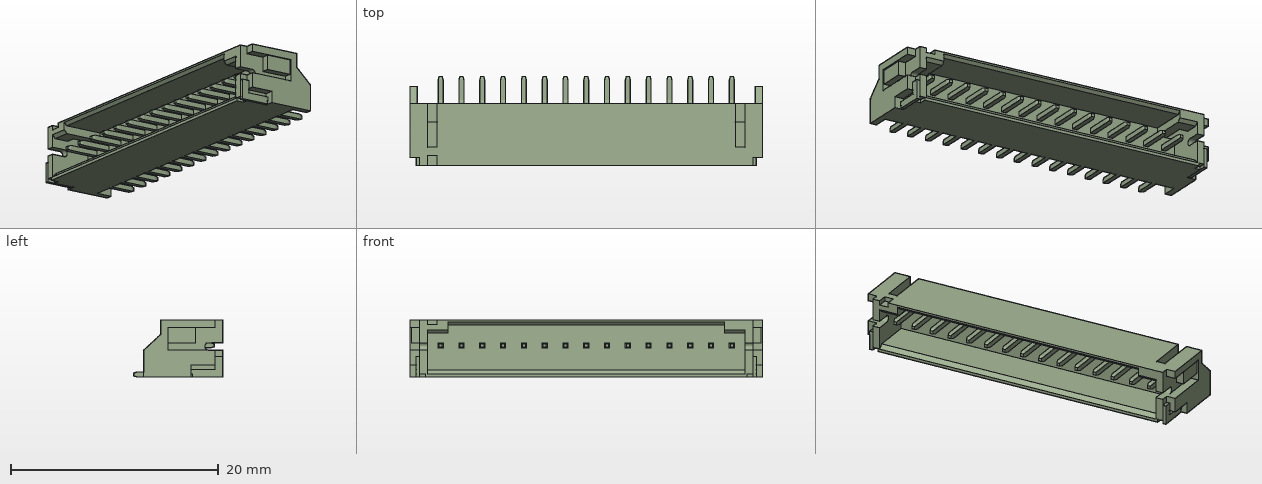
import cadquery as cq
import math

LENGTH = 33.9
DEPTH = 8.6
HEIGHT = 5.5
HALF_LENGTH = LENGTH / 2

BODY_DEPTH = 6.0
EAR_DEPTH = 7.62
EAR_TAIL_WIDTH = 0.7
EAR_SLOPE_TOP = 4.1
EAR_SLOPE_BOTTOM = 2.6
EAR_SETBACK = 0.77
EAR_WIDTH = 0.94

END_WALL = 1.7
CAVITY_HALF_LENGTH = HALF_LENGTH - END_WALL
CAVITY_DEPTH = 4.2
CAVITY_FLOOR = 0.7
CAVITY_ROOF = 4.22
KEYWAY_ROOF = 5.0
KEYWAY_HALF_LENGTH = HALF_LENGTH - 3.65
FLOOR_LEAD_IN = 0.4
ROOF_LEAD_IN = 0.33
KEYWAY_LEAD_IN = 0.3

ROOF_SLOT_WIDTH = 0.92
ROOF_SLOT_FRONT = 1.78
PIN_ONE_MARK_LENGTH = 1.0
PIN_ONE_MARK_DEPTH = 0.45

WINDOW_BACK = 5.3
WINDOW_BOTTOM = 2.6
WINDOW_TOP = 4.75
BLOCK_FRONT = 2.65
BLOCK_BOTTOM = 3.3
BLOCK_INSET = 0.15

WALL_SLOT_END = 1.73

RECESS_BACK = 3.05
RECESS_HEIGHT = 1.14
RELIEF_HEIGHT = 0.3
RELIEF_INNER = 1.5

TAB_OUTER = 0.6
TAB_FRONT_HEIGHT = 1.97
TAB_REAR_HEIGHT = 0.71
TAB_HEEL_LENGTH = 0.1
TAB_HEEL_HEIGHT = 0.32

PIN_COUNT = 15
PIN_PITCH = 2.0
PIN_SIZE = 0.5
PIN_TIP_SIZE = 0.3
PIN_TIP_LENGTH = 0.35
PIN_CONTACT_Z = 3.05
PIN_CONTACT_FRONT = 0.82
PIN_TAIL_Z = PIN_SIZE / 2
PIN_BEND_RADIUS = 0.33
PIN_EMBED = 0.3


def box(x_range, y_range, z_range):
    """Box spanning the given (low, high) ranges."""
    sizes = [high - low for low, high in (x_range, y_range, z_range)]
    corner = (x_range[0], y_range[0], z_range[0])
    return cq.Workplane("XY").box(*sizes, centered=False).translate(corner)


def yz_prism(points, x_range):
    """Closed (y, z) outline extruded along X over the given range."""
    low, high = x_range
    return cq.Workplane("YZ", origin=(low, 0, 0)).polyline(points).close().extrude(high - low)


def from_left(inset):
    """X of a plane at the given distance inside the left end."""
    return inset - HALF_LENGTH


def mirrored(shape):
    """Copy of a left-end shape at the right end."""
    return shape.mirror("YZ")


def ear_tail():
    """Sloped rear extension of the left ear."""
    outline = [
        (BODY_DEPTH, 0),
        (EAR_DEPTH, 0),
        (EAR_DEPTH, EAR_SLOPE_BOTTOM),
        (BODY_DEPTH, EAR_SLOPE_TOP),
    ]
    return yz_prism(outline, (from_left(0), from_left(EAR_TAIL_WIDTH)))


def cavity():
    """Mating cavity with a raised keyway in the roof and lead-in slopes at the mouth."""
    main_outline = [
        (0, CAVITY_FLOOR - FLOOR_LEAD_IN),
        (FLOOR_LEAD_IN, CAVITY_FLOOR),
        (CAVITY_DEPTH, CAVITY_FLOOR),
        (CAVITY_DEPTH, CAVITY_ROOF),
        (ROOF_LEAD_IN, CAVITY_ROOF),
        (0, CAVITY_ROOF + ROOF_LEAD_IN),
    ]
    keyway_outline = [
        (0, CAVITY_FLOOR),
        (CAVITY_DEPTH, CAVITY_FLOOR),
        (CAVITY_DEPTH, KEYWAY_ROOF),
        (KEYWAY_LEAD_IN, KEYWAY_ROOF),
        (0, KEYWAY_ROOF + KEYWAY_LEAD_IN),
    ]
    main = yz_prism(main_outline, (-CAVITY_HALF_LENGTH, CAVITY_HALF_LENGTH))
    keyway = yz_prism(keyway_outline, (-KEYWAY_HALF_LENGTH, KEYWAY_HALF_LENGTH))
    return main.union(keyway)


def side_window():
    """Left ear window, less the raised block left standing in it."""
    window = box(
        (from_left(0), from_left(EAR_WIDTH)),
        (0, WINDOW_BACK),
        (WINDOW_BOTTOM, WINDOW_TOP),
    )
    block = box(
        (from_left(BLOCK_INSET), from_left(EAR_WIDTH)),
        (BLOCK_FRONT, WINDOW_BACK),
        (BLOCK_BOTTOM, WINDOW_TOP),
    )
    return window.cut(block)


def wall_slot():
    """Round-ended slot through the left end wall."""
    radius = (BLOCK_BOTTOM - WINDOW_BOTTOM) / 2
    return (
        cq.Workplane("YZ", origin=(from_left(EAR_WIDTH), 0, 0))
        .moveTo(0, WINDOW_BOTTOM)
        .lineTo(WALL_SLOT_END - radius, WINDOW_BOTTOM)
        .threePointArc(
            (WALL_SLOT_END, WINDOW_BOTTOM + radius),
            (WALL_SLOT_END - radius, BLOCK_BOTTOM),
        )
        .lineTo(0, BLOCK_BOTTOM)
        .close()
        .extrude(END_WALL - EAR_WIDTH)
    )


def left_end_cuts():
    """Everything removed from the left end of the housing that repeats on the right."""
    setback = box((from_left(0), from_left(EAR_WIDTH)), (0, EAR_SETBACK), (0, HEIGHT))
    recess = box((from_left(0), from_left(EAR_WIDTH)), (0, RECESS_BACK), (0, RECESS_HEIGHT))
    relief = box(
        (from_left(EAR_WIDTH), from_left(RELIEF_INNER)),
        (0, EAR_SETBACK),
        (0, RELIEF_HEIGHT),
    )
    roof_slot = box(
        (from_left(END_WALL), from_left(END_WALL + ROOF_SLOT_WIDTH)),
        (ROOF_SLOT_FRONT, BODY_DEPTH),
        (CAVITY_ROOF, HEIGHT),
    )
    return [setback, recess, relief, roof_slot, side_window(), wall_slot()]


def pin_one_mark():
    """Shallow notch in the roof's front edge at the left end."""
    return box(
        (from_left(END_WALL), from_left(END_WALL + ROOF_SLOT_WIDTH)),
        (0, PIN_ONE_MARK_LENGTH),
        (HEIGHT - PIN_ONE_MARK_DEPTH, HEIGHT),
    )


def pin_tip(x, y_base, z, direction):
    """Tapered end of a square pin; direction is +1 toward +Y or -1 toward -Y."""
    plane = cq.Plane(origin=(x, y_base, z), xDir=(1, 0, 0), normal=(0, direction, 0))
    return (
        cq.Workplane(plane)
        .rect(PIN_SIZE, PIN_SIZE)
        .workplane(offset=PIN_TIP_LENGTH)
        .rect(PIN_TIP_SIZE, PIN_TIP_SIZE)
        .loft(ruled=True)
    )


def pin(x):
    """Exposed parts of one contact, each rooted in the housing."""
    half = PIN_SIZE / 2
    width = (x - half, x + half)
    contact_base = PIN_CONTACT_FRONT + PIN_TIP_LENGTH
    tail_base = DEPTH - PIN_TIP_LENGTH
    contact = box(
        width,
        (contact_base, CAVITY_DEPTH + PIN_EMBED),
        (PIN_CONTACT_Z - half, PIN_CONTACT_Z + half),
    )
    tail_top = PIN_SIZE
    bend_center = (BODY_DEPTH + PIN_BEND_RADIUS, tail_top + PIN_BEND_RADIUS)
    arc_offset = PIN_BEND_RADIUS * math.sqrt(0.5)
    tail = (
        cq.Workplane("YZ", origin=(width[0], 0, 0))
        .moveTo(BODY_DEPTH - PIN_EMBED, 0)
        .lineTo(tail_base, 0)
        .lineTo(tail_base, tail_top)
        .lineTo(bend_center[0], tail_top)
        .threePointArc(
            (bend_center[0] - arc_offset, bend_center[1] - arc_offset),
            (BODY_DEPTH, bend_center[1]),
        )
        .lineTo(BODY_DEPTH - PIN_EMBED, bend_center[1])
        .close()
        .extrude(PIN_SIZE)
    )
    return [
        contact,
        pin_tip(x, contact_base, PIN_CONTACT_Z, -1),
        tail,
        pin_tip(x, tail_base, PIN_TAIL_Z, 1),
    ]


def make_housing():
    """Housing with its moulded-in pins."""
    body = box((-HALF_LENGTH, HALF_LENGTH), (0, BODY_DEPTH), (0, HEIGHT))
    body = body.union(ear_tail()).union(mirrored(ear_tail()))
    body = body.cut(cavity()).cut(pin_one_mark())
    for cutter in left_end_cuts():
        body = body.cut(cutter).cut(mirrored(cutter))
    for index in range(PIN_COUNT):
        x = (index - (PIN_COUNT - 1) / 2) * PIN_PITCH
        for piece in pin(x):
            body = body.union(piece)
    return body


def make_left_solder_tab():
    """L-shaped plate against the left end wall, tall at the front and low under the ear."""
    heel_back = RECESS_BACK - TAB_HEEL_LENGTH
    outline = [
        (0, 0),
        (heel_back, 0),
        (heel_back, TAB_HEEL_HEIGHT),
        (RECESS_BACK, TAB_HEEL_HEIGHT),
        (RECESS_BACK, TAB_REAR_HEIGHT),
        (EAR_SETBACK, TAB_REAR_HEIGHT),
        (EAR_SETBACK, TAB_FRONT_HEIGHT),
        (0, TAB_FRONT_HEIGHT),
    ]
    return yz_prism(outline, (from_left(TAB_OUTER), from_left(EAR_WIDTH)))


housing = make_housing()
left_tab = make_left_solder_tab()
right_tab = mirrored(left_tab)

result = cq.Compound.makeCompound([housing.val(), left_tab.val(), right_tab.val()])